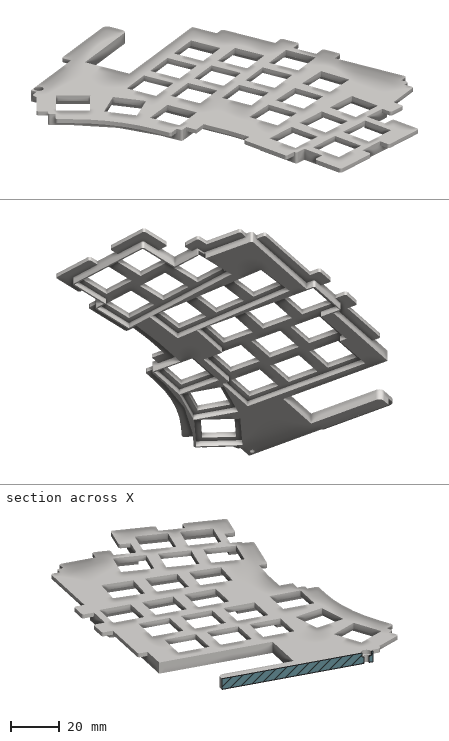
import cadquery as cq
import math

plate_height = 5.0
flange_thickness = 1.8
flange_bottom = plate_height - flange_thickness

key_pitch = 19.05
key_opening = 14.0
key_plate_thickness = 2.5
rows = 3
straight_columns = [(44.4, 46.85), (63.45, 49.95), (82.5, 58.9)]
tilted_column = (101.75, 48.55)
tilted_angle = -4.0
outer_columns = (119.62, 34.6)
outer_angle = -10.0
last_column_rise = 5.0
last_column_rows = 2
thumb_first_key = (66.6, 27.9)
thumb_radius = 82.3
thumb_step = 15.0
thumb_keys = 3
last_thumb_angle = (thumb_keys - 1) * thumb_step

body_margin = 10.25
overhang = key_pitch / 4
flange_margin = body_margin + overhang
last_upper_margin = 15.25
thumb_body_margin = 10.45
thumb_flange_margin = 15.2
outer_flange_setback = 1.0
lap = 3.0
body_round = 1.0
flange_round = 1.0

body_left = 4.5
body_bottom = 18.5
body_right = 133.9
body_top = 103.2
arm_top = 86.35
arm_right = 10.3
arm_round = 2.3
bay_floor = 52.4
bay_right = 31.4
bump_x = straight_columns[2][0]
bump_top = 107.05
inner_bottom = 31.5
inner_bottom_bend_x = 93.0
outer_block_top = 47.0

left_flange_bottom = 51.0
top_flange_left = 43.1
top_flange_right = 130.6
top_flange_top = 107.4
tab_half_gap = 5.5
tab_half_width = 14.2
tab_top = 112.27
right_flange_top = 100.25
right_flange_right = body_right + 4.3
side_notch = (20.2, 9.0)
outer_tab_bottom = 44.0
outer_notch_left = 19.9
outer_flange_end = 9.0
thumb_flange_end = 74.25
inner_flange_end = 20.8
left_thumb_flange_start = 7.3
left_thumb_flange_bottom = 15.0
left_thumb_flange_drop = 1.0
thumb_notch_depth = 7.9
thumb_notch_right = -7.1

screw_centre = (6.55, 21.4)
screw_diameter = 2.1
screw_head_diameter = 4.0
screw_head_depth = flange_thickness


def frame(origin, angle):
    """Return a function turning (u, v) of a rotated frame into part coordinates, with a corner radius."""
    cos_a = math.cos(math.radians(angle))
    sin_a = math.sin(math.radians(angle))

    def place(u, v, corner_radius=0):
        return (origin[0] + u * cos_a - v * sin_a, origin[1] + u * sin_a + v * cos_a, corner_radius)

    return place


def thumb_centre(index):
    angle = math.radians(index * thumb_step)
    x = thumb_first_key[0] - thumb_radius * math.sin(angle)
    y = thumb_first_key[1] - thumb_radius * (1 - math.cos(angle))
    return (x, y)


tilted = frame(tilted_column, tilted_angle)
outer = frame(outer_columns, outer_angle)
thumbs = [frame(thumb_centre(i), i * thumb_step) for i in range(thumb_keys)]
first_thumb, middle_thumb, last_thumb = thumbs


def rounded_corner(before, corner, after):
    """Start, middle and end of the arc rounding a corner."""
    x, y, radius = corner
    to_before = math.atan2(before[1] - y, before[0] - x)
    to_after = math.atan2(after[1] - y, after[0] - x)
    half = abs(math.remainder(to_after - to_before, math.tau)) / 2
    reach = radius / math.tan(half)
    bisector = to_before + math.remainder(to_after - to_before, math.tau) / 2
    middle_reach = radius / math.sin(half) - radius
    return [
        (x + reach * math.cos(to_before), y + reach * math.sin(to_before)),
        (x + middle_reach * math.cos(bisector), y + middle_reach * math.sin(bisector)),
        (x + reach * math.cos(to_after), y + reach * math.sin(to_after)),
    ]


def slab(corners, bottom):
    """Extrude a closed outline of (x, y, radius) corners from bottom up to the top face."""
    sketch = cq.Workplane("XY").workplane(offset=bottom)
    for i, corner in enumerate(corners):
        start = corner[:2]
        arc = None
        if corner[2] > 0:
            arc = rounded_corner(corners[i - 1], corner, corners[(i + 1) % len(corners)])
            start = arc[0]
        sketch = sketch.moveTo(*start) if i == 0 else sketch.lineTo(*start)
        if arc:
            sketch = sketch.threePointArc(arc[1], arc[2])
    return sketch.close().extrude(plate_height - bottom)


def thumb_arch():
    """Concave flange strip below the thumb keys, its edge an arc at the flange margin from them."""
    edge = [place(0, -thumb_flange_margin)[:2] for place in thumbs]
    inner = [place(0, -body_margin + lap)[:2] for place in thumbs]
    return (
        cq.Workplane("XY").workplane(offset=flange_bottom)
        .moveTo(*edge[0]).threePointArc(edge[1], edge[2])
        .lineTo(*inner[2]).threePointArc(inner[1], inner[0])
        .close().extrude(plate_height - flange_bottom)
    )


def meet(point_a, angle_a, point_b, angle_b):
    """Sharp corner where two lines, each given by a point and a direction in degrees, cross."""
    ax, ay = math.cos(math.radians(angle_a)), math.sin(math.radians(angle_a))
    bx, by = math.cos(math.radians(angle_b)), math.sin(math.radians(angle_b))
    dx, dy = point_b[0] - point_a[0], point_b[1] - point_a[1]
    along = (dx * by - dy * bx) / (ax * by - ay * bx)
    return (point_a[0] + along * ax, point_a[1] + along * ay, 0)


def body():
    """Full-height body following the key layout, with the side arm and its bay."""
    m = body_margin
    r = body_round
    last_u = key_pitch + m
    last_bottom = last_column_rise - m
    last_top = last_column_rise + (last_column_rows - 1) * key_pitch + m
    key_3_right = thumb_first_key[0] + m
    thumb_m = thumb_body_margin
    bend = (inner_bottom_bend_x, inner_bottom, 0)
    outline = [
        (body_left, body_bottom, 0),
        meet((body_left, body_bottom), 0, last_thumb(-m, 0), last_thumb_angle + 90),
        last_thumb(-m, -thumb_m, r),
        last_thumb(0, -thumb_m),
        middle_thumb(0, -thumb_m),
        first_thumb(0, -thumb_m),
        first_thumb(m, -thumb_m, r),
        (key_3_right, inner_bottom, 0),
        bend,
        meet(bend, tilted_angle, outer(-m, 0), outer_angle + 90),
        outer(-m, -m, r),
        outer(m, -m, r),
        outer(m, last_bottom),
        outer(last_u, last_bottom, r),
        outer(last_u, last_top, r),
        outer(m, last_top),
        outer(m, outer_block_top),
        meet(outer(0, outer_block_top), outer_angle, (body_right, body_top), 90),
        (body_right, body_top, r),
        (bump_x + m, body_top, 0),
        (bump_x + m, bump_top, r),
        (bump_x - m, bump_top, r),
        (bump_x - m, body_top, 0),
        (bay_right, body_top, 0),
        (bay_right, bay_floor, 0),
        (arm_right, bay_floor, 0),
        (arm_right, arm_top, arm_round),
        (body_left, arm_top, 0),
    ]
    return slab(outline, 0)


def flange_outlines():
    """Thin tabs standing out around the body, each lapping back into it."""
    m = flange_margin
    r = flange_round
    inside = body_margin - lap
    last_u = key_pitch + m
    last_inside = key_pitch + inside
    last_bottom = last_column_rise - m
    last_top_key = last_column_rise + (last_column_rows - 1) * key_pitch
    flange_low = inner_bottom - overhang
    bend = (inner_bottom_bend_x, flange_low, 0)
    outer_start = outer_flange_setback - m
    thumb_shoulder = left_thumb_flange_bottom - left_thumb_flange_drop
    inner_right = thumb_first_key[0] + m

    left_arm = [
        (0, left_flange_bottom, r),
        (body_left + lap, left_flange_bottom, 0),
        (body_left + lap, arm_top, 0),
        (0, arm_top, arm_round),
    ]
    top_left = [
        (top_flange_left, body_top - lap, 0),
        (bump_x - tab_half_gap, body_top - lap, 0),
        (bump_x - tab_half_gap, tab_top, r),
        (bump_x - tab_half_width, tab_top, r),
        (bump_x - tab_half_width, top_flange_top, 0),
        (top_flange_left, top_flange_top, r),
    ]
    top_right = [
        (bump_x + tab_half_gap, body_top - lap, 0),
        (top_flange_right, body_top - lap, 0),
        (top_flange_right, top_flange_top, r),
        (bump_x + tab_half_width, top_flange_top, 0),
        (bump_x + tab_half_width, tab_top, r),
        (bump_x + tab_half_gap, tab_top, r),
    ]
    tab_v = outer_block_top + overhang
    right = [
        (body_right - lap, right_flange_top, 0),
        (body_right - lap, outer(0, outer_tab_bottom)[1], 0),
        outer(inside, outer_tab_bottom),
        outer(m, outer_tab_bottom, r),
        outer(m, tab_v, r),
        meet(outer(m, tab_v), outer_angle, (right_flange_right, right_flange_top), 90),
        (right_flange_right, right_flange_top, r),
    ]
    last_upper = [
        outer(outer_notch_left, last_top_key + inside),
        outer(last_inside, last_top_key + inside),
        outer(last_inside, side_notch[0]),
        outer(last_u, side_notch[0], r),
        outer(last_u, last_top_key + last_upper_margin, r),
        outer(outer_notch_left, last_top_key + last_upper_margin, r),
    ]
    last_lower = [
        outer(outer_notch_left, last_bottom, r),
        outer(last_u, last_bottom, r),
        outer(last_u, side_notch[1], r),
        outer(last_inside, side_notch[1]),
        outer(last_inside, last_column_rise - inside),
        outer(outer_notch_left, last_column_rise - inside),
    ]
    inner_bottom_edge = [
        (thumb_first_key[0] + inside, inner_flange_end, 0),
        (inner_right, inner_flange_end, 0),
        (inner_right, flange_low, 0),
        bend,
        meet(bend, tilted_angle, outer(outer_start, 0), outer_angle + 90),
        outer(outer_start, -m, r),
        outer(outer_flange_end, -m, r),
        outer(outer_flange_end, -inside),
        outer(-inside, -inside),
        outer(-inside, 0),
        (inner_bottom_bend_x, inner_bottom + lap, 0),
        (thumb_first_key[0] + inside, inner_bottom + lap, 0),
    ]
    thumb_right = [
        first_thumb(0, -thumb_flange_margin),
        (thumb_flange_end, thumb_first_key[1] - thumb_flange_margin, r),
        (thumb_flange_end, thumb_first_key[1] - inside, 0),
        first_thumb(0, -inside),
    ]
    thumb_tip = [
        last_thumb(thumb_notch_right, -thumb_flange_margin, r),
        last_thumb(0, -thumb_flange_margin),
        last_thumb(0, -inside),
        last_thumb(thumb_notch_right, -inside),
    ]
    thumb_left = [
        (left_thumb_flange_start, body_bottom + lap, 0),
        (left_thumb_flange_start, left_thumb_flange_bottom, r),
        meet((left_thumb_flange_start, thumb_shoulder), 0, last_thumb(-m, 0), last_thumb_angle + 90),
        last_thumb(-m, -thumb_notch_depth, r),
        last_thumb(-inside, -thumb_notch_depth),
        last_thumb(-inside, inside),
    ]
    return [left_arm, top_left, top_right, right, last_upper, last_lower,
            inner_bottom_edge, thumb_right, thumb_tip, thumb_left]


def key_places():
    """Centre and rotation of every key opening."""
    places = []
    for x, y in straight_columns:
        column = frame((x, y), 0)
        places += [(column(0, row * key_pitch), 0) for row in range(rows)]
    places += [(tilted(0, row * key_pitch), tilted_angle) for row in range(rows)]
    places += [(outer(0, row * key_pitch), outer_angle) for row in range(rows)]
    for row in range(last_column_rows):
        places.append((outer(key_pitch, last_column_rise + row * key_pitch), outer_angle))
    places += [(place(0, 0), i * thumb_step) for i, place in enumerate(thumbs)]
    return places


def key_cutter(centre, angle):
    """Square key opening over a wider cavity that leaves the thin key plate at the top."""
    opening = cq.Workplane("XY").rect(key_opening, key_opening).extrude(plate_height)
    cavity = cq.Workplane("XY").rect(key_pitch, key_pitch).extrude(plate_height - key_plate_thickness)
    return opening.union(cavity).rotate((0, 0, 0), (0, 0, 1), angle).translate((centre[0], centre[1], 0))


plate = body()
for outline in flange_outlines():
    plate = plate.union(slab(outline, flange_bottom))
plate = plate.union(thumb_arch())
for centre, angle in key_places():
    plate = plate.cut(key_cutter(centre, angle))
result = (
    plate.faces(">Z").workplane(origin=(*screw_centre, plate_height))
    .cboreHole(screw_diameter, screw_head_diameter, screw_head_depth)
)